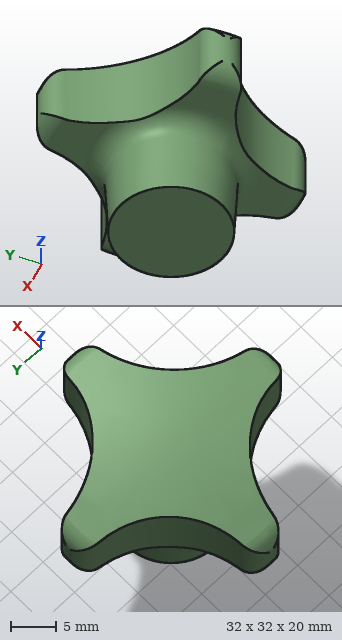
import cadquery as cq
import math

outer_radius = 16.0
height = 20.0
underside_z = 10.0
dome_radius = 50.0
rim_fillet = 2.5
stem_end_radius = 7.0
stem_draft_degrees = 3.0
neck_fillet = 2.5
lobe_radius = 2.5
waist_radius = 8.75

rim_center_r = outer_radius - rim_fillet
dome_center_z = height - dome_radius
rim_rise = math.sqrt((dome_radius - rim_fillet) ** 2 - rim_center_r ** 2)
rim_center_z = dome_center_z + rim_rise
dome_tilt = math.atan2(rim_center_r, rim_rise)

draft = math.radians(stem_draft_degrees)
neck_center_z = underside_z - neck_fillet
neck_start_z = neck_center_z + neck_fillet * math.sin(draft)
neck_start_r = stem_end_radius + neck_start_z * math.tan(draft)
neck_center_r = neck_start_r + neck_fillet * math.cos(draft)


def on_circle(center_x, center_y, radius, angle):
    """Point on a circle, with the angle in radians from the first axis."""
    return (center_x + radius * math.cos(angle), center_y + radius * math.sin(angle))


def turned_body():
    """Round knob: tapered stem, filleted neck and domed head."""
    lower_rim_z = underside_z + rim_fillet
    rim_top_angle = math.pi / 2 - dome_tilt
    profile = (
        cq.Workplane("XZ")
        .lineTo(stem_end_radius, 0)
        .lineTo(neck_start_r, neck_start_z)
        .threePointArc(
            on_circle(neck_center_r, neck_center_z, neck_fillet, 3 * math.pi / 4),
            (neck_center_r, underside_z),
        )
        .lineTo(rim_center_r, underside_z)
        .threePointArc(
            on_circle(rim_center_r, lower_rim_z, rim_fillet, -math.pi / 4),
            (outer_radius, lower_rim_z),
        )
        .lineTo(outer_radius, rim_center_z)
        .threePointArc(
            on_circle(rim_center_r, rim_center_z, rim_fillet, rim_top_angle / 2),
            on_circle(rim_center_r, rim_center_z, rim_fillet, rim_top_angle),
        )
        .threePointArc(
            on_circle(0, dome_center_z, dome_radius, math.pi / 2 - dome_tilt / 2),
            (0, height),
        )
        .close()
    )
    return profile.revolve(360, (0, 0, 0), (0, 1, 0))


def star_prism():
    """Four round lobes joined by tangent hollows, over the full height."""
    lobe_center = outer_radius - lobe_radius
    gap = waist_radius - lobe_radius
    hollow_center = (lobe_center ** 2 - gap ** 2) / (2 * lobe_center - 2 * math.sqrt(2) * gap)
    tangent_angle = math.atan2(hollow_center, hollow_center - lobe_center)
    tangent_x, tangent_y = on_circle(lobe_center, 0, lobe_radius, tangent_angle)
    waist_x = waist_radius / math.sqrt(2)

    def turned(x, y, quarter):
        angle = quarter * math.pi / 2
        return (
            x * math.cos(angle) - y * math.sin(angle),
            x * math.sin(angle) + y * math.cos(angle),
        )

    outline = cq.Workplane("XY").moveTo(tangent_x, -tangent_y)
    for quarter in range(4):
        outline = outline.threePointArc(
            turned(outer_radius, 0, quarter),
            turned(tangent_x, tangent_y, quarter),
        ).threePointArc(
            turned(waist_x, waist_x, quarter),
            turned(tangent_y, tangent_x, quarter),
        )
    return outline.close().extrude(height)


result = turned_body().intersect(star_prism())